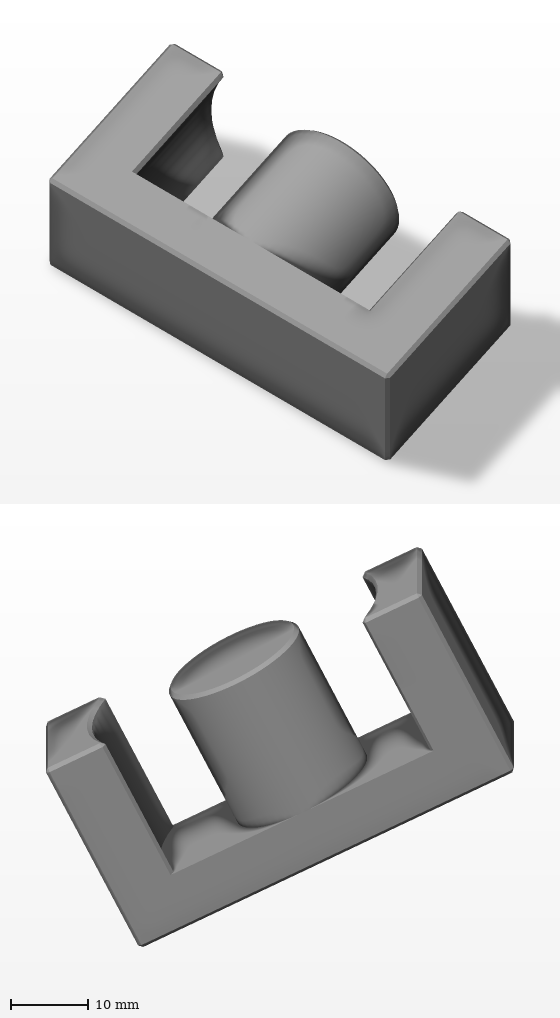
import cadquery as cq

width = 54.5
depth = 27.6
height = 18.9
back_thickness = 7.4
post_diameter = height
window_diameter = 41.2
edge_chamfer = 0.5
lip_chamfer = 0.75

front_y = -depth / 2
floor_y = front_y + back_thickness
end_y = depth / 2
leg_length = end_y - floor_y


def cylinder_along_y(diameter, start_y, length):
    """Cylinder on the part's Y axis, growing from start_y toward +Y."""
    plane = cq.Plane(origin=(0, start_y, 0), xDir=(1, 0, 0), normal=(0, 1, 0))
    return cq.Workplane(plane).circle(diameter / 2).extrude(length)


def make_frame():
    """Back wall with two legs, hollowed concentric with the post."""
    block = cq.Workplane("XY").box(width, depth, height)
    frame = block.cut(cylinder_along_y(window_diameter, floor_y, leg_length))

    window_region = cq.selectors.BoxSelector(
        (-window_diameter / 2, floor_y, -height),
        (window_diameter / 2, end_y, height),
    )
    lips = cq.selectors.AndSelector(cq.StringSyntaxSelector("|Y"), window_region)
    frame = frame.edges(lips).chamfer(lip_chamfer)

    return frame.faces("<X or >X or <Y or >Y").edges().chamfer(edge_chamfer)


def make_post():
    """Round centre post with a chamfered free end, rooted in the back wall."""
    root_y = floor_y - back_thickness / 2
    post = cylinder_along_y(post_diameter, root_y, end_y - root_y)
    return post.faces(">Y").edges().chamfer(edge_chamfer)


result = make_frame().union(make_post())